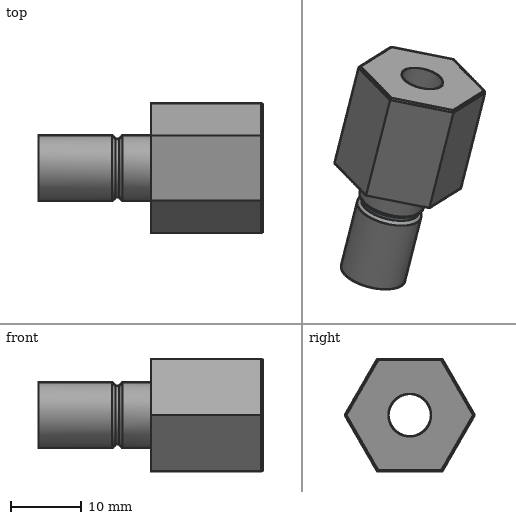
import cadquery as cq
import math

spigot_length = 16.0
hex_length = 16.0
overall_length = spigot_length + hex_length

spigot_diameter = 9.4
bore_diameter = 6.0
hex_sides = 6
hex_across_flats = 16.0
hex_across_corners = hex_across_flats / math.cos(math.pi / hex_sides)

groove_start = 10.5
groove_depth = 0.5
groove_floor_width = 0.5

bevel_length = 0.3
bevel_angle = 30.0
bevel_drop = bevel_length * math.tan(math.radians(bevel_angle))


def make_spigot():
    """Turned spigot with its groove, revolved about the X axis."""
    outer_radius = spigot_diameter / 2
    floor_radius = outer_radius - groove_depth
    floor_start = groove_start + groove_depth
    floor_end = floor_start + groove_floor_width
    groove_end = floor_end + groove_depth
    profile = [
        (0, 0),
        (0, outer_radius),
        (groove_start, outer_radius),
        (floor_start, floor_radius),
        (floor_end, floor_radius),
        (groove_end, outer_radius),
        (spigot_length, outer_radius),
        (spigot_length, 0),
    ]
    return cq.Workplane("XY").polyline(profile).close().revolve(360, (0, 0, 0), (1, 0, 0))


def make_hex_body():
    """Hexagonal body whose free end tapers in along all six sides."""
    straight_length = hex_length - bevel_length
    straight = (
        cq.Workplane("YZ", origin=(spigot_length, 0, 0))
        .polygon(hex_sides, hex_across_corners)
        .extrude(straight_length)
    )
    end_across_flats = hex_across_flats - 2 * bevel_drop
    end_across_corners = end_across_flats / math.cos(math.pi / hex_sides)
    bevel = (
        straight.faces(">X")
        .workplane(centerOption="CenterOfMass")
        .polygon(hex_sides, hex_across_corners)
        .workplane(offset=bevel_length)
        .polygon(hex_sides, end_across_corners)
        .loft(ruled=True, combine=False)
    )
    return straight.union(bevel)


def make_bore():
    """Straight bore through the full length."""
    return cq.Workplane("YZ").circle(bore_diameter / 2).extrude(overall_length)


result = make_spigot().union(make_hex_body()).cut(make_bore())